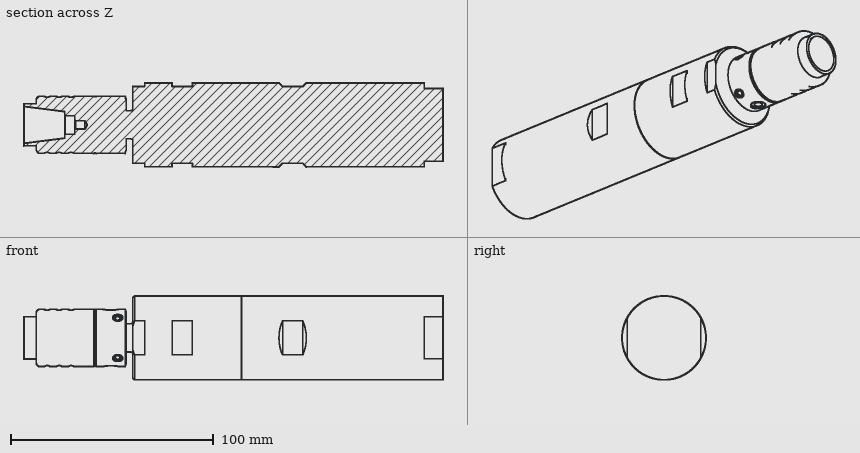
import cadquery as cq
import math

TOTAL_LENGTH = 206.5
BODY_DIAMETER = 41.5
BODY_START = 53.5
BODY_CHAMFER_LENGTH = 1.0
BODY_CHAMFER_DEPTH = 1.0
SEAM_X = 107.2
SEAM_WIDTH = 0.3
SEAM_DEPTH = 0.15

FLATS_ACROSS = 38.0
FRONT_FLAT_LENGTH = 6.0
MIDDLE_FLAT_START = 73.0
FLAT_LENGTH = 10.0
SLOPED_FLAT_START = 127.4
SLOPED_FLAT_END_SPREAD = 1.0
END_FLATS_ACROSS = 36.0
END_FLAT_LENGTH = 9.2

TUBE_DIAMETER = 21.0
TUBE_MOUTH_DIAMETER = 18.0
TUBE_BORE_DIAMETER = 13.0
BORE_DEPTH = 20.0
SOCKET_DIAMETER = 9.0
SOCKET_DEPTH = 5.0
PORT_DIAMETER = 4.0
PORT_DEPTH = 5.0
BORE_EDGE_CHAMFER = 0.4

SLEEVE_DIAMETER = 28.4
SLEEVE_START = 6.0
SLEEVE_END = 50.5
SLEEVE_FRONT_FILLET = 2.0
SLEEVE_REAR_CHAMFER_LENGTH = 0.6
SLEEVE_REAR_CHAMFER_DEPTH = 2.0
GRIP_GROOVE_COUNT = 3
GRIP_GROOVE_FIRST_X = 11.4
GRIP_GROOVE_PITCH = 5.9
GRIP_GROOVE_WIDTH = 3.4
GRIP_GROOVE_LIP = 0.35
GRIP_GROOVE_LIP_DEPTH = 0.1
GRIP_GROOVE_DEPTH = 0.5
RING_GROOVE_X = 35.0
RING_GROOVE_WIDTH = 1.2
RING_GROOVE_DEPTH = 0.4

NECK_DIAMETER = 14.0
NECK_TAPER_START = 52.5
NECK_END_DIAMETER = 14.5

BIG_SCREW_X = 42.8
BIG_SCREW_RIM_DIAMETER = 8.0
BIG_SCREW_DIAMETER = 6.65
BIG_SCREW_ANGLES = (90, 270)
SMALL_SCREW_X = 46.2
SMALL_SCREW_RIM_DIAMETER = 5.0
SMALL_SCREW_DIAMETER = 4.0
SMALL_SCREW_ANGLES = (45, 135, 225, 315)
SCREW_RECESS = 0.6
BIG_SOCKET_DIAMETER = 4.0
SMALL_SOCKET_DIAMETER = 2.5
DRILL_POINT_ANGLE = 120

OVERLAP = 1.0


def rod(diameter, start, end):
    """A cylinder along X."""
    return cq.Workplane("YZ", origin=(start, 0, 0)).circle(diameter / 2).extrude(end - start)


def revolved(profile):
    """A closed XY outline turned about the X axis."""
    return profile.close().revolve(360, (0, 0, 0), (1, 0, 0))


def cone(start_diameter, end_diameter, start, end):
    """A truncated cone along X."""
    profile = [(start, 0), (start, start_diameter / 2), (end, end_diameter / 2), (end, 0)]
    return revolved(cq.Workplane("XY").polyline(profile))


def v_groove(diameter, x, width, depth):
    """A V-shaped ring to cut into a rod, centred at x."""
    radius = diameter / 2
    half_width = width / 2
    outline = [
        (x - half_width, radius + OVERLAP),
        (x - half_width, radius),
        (x, radius - depth),
        (x + half_width, radius),
        (x + half_width, radius + OVERLAP),
    ]
    return revolved(cq.Workplane("XY").polyline(outline))


def make_body():
    radius = BODY_DIAMETER / 2
    profile = [
        (BODY_START, 0),
        (BODY_START, radius - BODY_CHAMFER_DEPTH),
        (BODY_START + BODY_CHAMFER_LENGTH, radius),
        (TOTAL_LENGTH, radius),
        (TOTAL_LENGTH, 0),
    ]
    body = revolved(cq.Workplane("XY").polyline(profile))
    return body.cut(v_groove(BODY_DIAMETER, SEAM_X, SEAM_WIDTH, SEAM_DEPTH))


def flat_pair(start, end, across, end_spread=0.0):
    """Two blocks that cut flats on -Y and +Y; end_spread is the slope of their ends."""
    near = across / 2
    far = BODY_DIAMETER / 2 + OVERLAP
    spread = end_spread * (far - near)
    outline = [(start, near), (end, near), (end + spread, far), (start - spread, far)]
    block = cq.Workplane("XY").polyline(outline).close().extrude(BODY_DIAMETER / 2, both=True)
    return block.union(block.mirror("XZ"))


def make_sleeve():
    radius = SLEEVE_DIAMETER / 2
    profile = [
        (SLEEVE_START, 0),
        (SLEEVE_START, radius),
        (SLEEVE_END - SLEEVE_REAR_CHAMFER_LENGTH, radius),
        (SLEEVE_END, radius - SLEEVE_REAR_CHAMFER_DEPTH),
        (SLEEVE_END, 0),
    ]
    sleeve = revolved(cq.Workplane("XY").polyline(profile))
    sleeve = sleeve.faces("<X").edges().fillet(SLEEVE_FRONT_FILLET)
    for index in range(GRIP_GROOVE_COUNT):
        sleeve = sleeve.cut(grip_groove(GRIP_GROOVE_FIRST_X + index * GRIP_GROOVE_PITCH))
    return sleeve.cut(v_groove(SLEEVE_DIAMETER, RING_GROOVE_X, RING_GROOVE_WIDTH, RING_GROOVE_DEPTH))


def grip_groove(x):
    """A round-bottomed ring with a sloping lip on each side, centred at x."""
    radius = SLEEVE_DIAMETER / 2
    half_width = GRIP_GROOVE_WIDTH / 2
    arc_half_width = half_width - GRIP_GROOVE_LIP
    arc_radius = radius - GRIP_GROOVE_LIP_DEPTH
    outline = (
        cq.Workplane("XY")
        .moveTo(x - half_width, radius + OVERLAP)
        .lineTo(x - half_width, radius)
        .lineTo(x - arc_half_width, arc_radius)
        .threePointArc((x, radius - GRIP_GROOVE_DEPTH), (x + arc_half_width, arc_radius))
        .lineTo(x + half_width, radius)
        .lineTo(x + half_width, radius + OVERLAP)
    )
    return revolved(outline)


def make_neck():
    neck = rod(NECK_DIAMETER, SLEEVE_END - OVERLAP, NECK_TAPER_START)
    return neck.union(cone(NECK_DIAMETER, NECK_END_DIAMETER, NECK_TAPER_START, BODY_START))


def countersink(diameter, x):
    """A 45-degree cone that breaks the edge of a bore starting at x."""
    return cone(diameter + 2 * BORE_EDGE_CHAMFER, diameter, x, x + BORE_EDGE_CHAMFER)


def make_bore():
    socket_end = BORE_DEPTH + SOCKET_DEPTH
    port_end = socket_end + PORT_DEPTH
    point_length = PORT_DIAMETER / 2 / math.tan(math.radians(DRILL_POINT_ANGLE / 2))
    bore = cone(TUBE_MOUTH_DIAMETER, TUBE_BORE_DIAMETER, 0, BORE_DEPTH)
    bore = bore.union(rod(SOCKET_DIAMETER, BORE_DEPTH, socket_end))
    bore = bore.union(countersink(SOCKET_DIAMETER, BORE_DEPTH))
    bore = bore.union(rod(PORT_DIAMETER, socket_end, port_end))
    bore = bore.union(countersink(PORT_DIAMETER, socket_end))
    point = [(port_end, 0), (port_end, PORT_DIAMETER / 2), (port_end + point_length, 0)]
    return bore.union(revolved(cq.Workplane("XY").polyline(point)))


def screw_hole(x, angle, rim_diameter, diameter, socket_diameter):
    """The recess over a set screw and the pointed socket in its head, at an angle from +Y about X."""
    head_height = SLEEVE_DIAMETER / 2 - SCREW_RECESS
    socket_radius = socket_diameter / 2
    point_depth = socket_radius / math.tan(math.radians(DRILL_POINT_ANGLE / 2))
    top = SLEEVE_DIAMETER / 2 + OVERLAP
    profile = [
        (0, head_height - point_depth),
        (socket_radius, head_height),
        (diameter / 2, head_height),
        (rim_diameter / 2, SLEEVE_DIAMETER / 2),
        (rim_diameter / 2, top),
        (0, top),
    ]
    hole = cq.Workplane("XY").polyline(profile).close().revolve(360, (0, 0, 0), (0, 1, 0))
    return hole.translate((x, 0, 0)).rotate((0, 0, 0), (1, 0, 0), angle)


def cut_screw_holes(part):
    for angle in BIG_SCREW_ANGLES:
        part = part.cut(screw_hole(
            BIG_SCREW_X, angle, BIG_SCREW_RIM_DIAMETER, BIG_SCREW_DIAMETER, BIG_SOCKET_DIAMETER
        ))
    for angle in SMALL_SCREW_ANGLES:
        part = part.cut(screw_hole(
            SMALL_SCREW_X, angle, SMALL_SCREW_RIM_DIAMETER, SMALL_SCREW_DIAMETER, SMALL_SOCKET_DIAMETER
        ))
    return part


body = make_body()
body = body.cut(flat_pair(BODY_START - OVERLAP, BODY_START + FRONT_FLAT_LENGTH, FLATS_ACROSS))
body = body.cut(flat_pair(MIDDLE_FLAT_START, MIDDLE_FLAT_START + FLAT_LENGTH, FLATS_ACROSS))
sloped_flat_end = SLOPED_FLAT_START + FLAT_LENGTH
body = body.cut(flat_pair(SLOPED_FLAT_START, sloped_flat_end, FLATS_ACROSS, SLOPED_FLAT_END_SPREAD))
body = body.cut(flat_pair(TOTAL_LENGTH - END_FLAT_LENGTH, TOTAL_LENGTH + OVERLAP, END_FLATS_ACROSS))

result = body.union(make_neck()).union(make_sleeve())
result = result.union(rod(TUBE_DIAMETER, 0, SLEEVE_START + OVERLAP))
result = cut_screw_holes(result.cut(make_bore()))